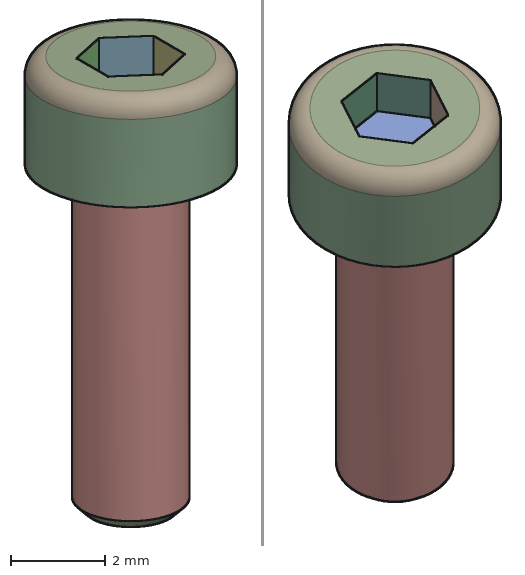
import cadquery as cq
import math

total_length = 10.5
head_diameter = 4.5
head_height = 2.5
head_edge_radius = 0.45
shank_diameter = 2.5
shank_length = total_length - head_height
tip_chamfer = 0.25
socket_across_flats = 2.0
socket_across_corners = socket_across_flats / math.cos(math.radians(30))
socket_depth = 1.1


def make_head():
    """Cylindrical head with a rounded top edge."""
    head = cq.Workplane("XY").circle(head_diameter / 2).extrude(head_height)
    return head.faces(">Z").edges().fillet(head_edge_radius)


def make_shank():
    """Plain shank below the head, with a chamfered tip."""
    overlap = head_height / 4
    shank = (
        cq.Workplane("XY")
        .workplane(offset=-shank_length)
        .circle(shank_diameter / 2)
        .extrude(shank_length + overlap)
    )
    return shank.faces("<Z").edges().chamfer(tip_chamfer)


def make_socket():
    """Hexagonal drive recess with two corners on the X axis."""
    return (
        cq.Workplane("XY")
        .workplane(offset=head_height)
        .polygon(6, socket_across_corners)
        .extrude(-socket_depth)
    )


result = make_head().union(make_shank()).cut(make_socket())